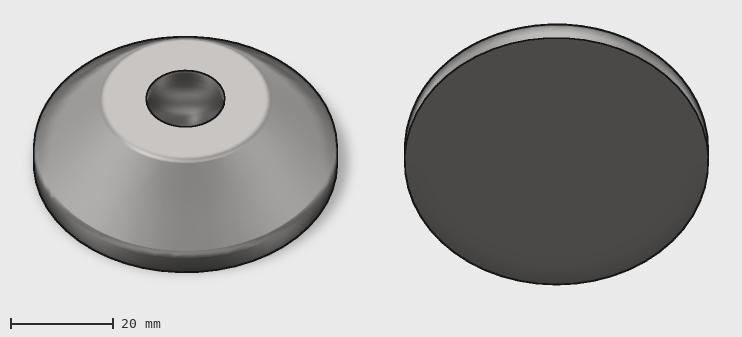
import cadquery as cq

base_diameter = 59.0
height = 18.0
rim_height = 4.8
top_diameter = 32.45
edge_radius = 2.0
socket_diameter = 15.0
socket_wall_depth = 2.5
mouth_flare = 0.1
mouth_depth = 0.6

base_radius = base_diameter / 2
top_radius = top_diameter / 2
socket_radius = socket_diameter / 2
wall_bottom_z = height - socket_wall_depth


def make_body():
    """Cone on a short cylindrical rim, with rounded rim and top edges."""
    profile = (
        cq.Workplane("XZ")
        .lineTo(base_radius, 0)
        .lineTo(base_radius, rim_height)
        .lineTo(top_radius, height)
        .lineTo(0, height)
        .close()
    )
    body = profile.revolve(360, (0, 0, 0), (0, 1, 0))
    body = body.faces(">Z").edges().fillet(edge_radius)
    rim_corner = cq.selectors.BoxSelector(
        (-base_diameter, -base_diameter, rim_height / 2),
        (base_diameter, base_diameter, height / 2),
    )
    return body.edges("%CIRCLE").edges(rim_corner).fillet(edge_radius)


def make_socket():
    """Cutter for the ball socket: a flared mouth, a straight bore and a hemisphere."""
    wall_base = cq.Workplane("XY", origin=(0, 0, wall_bottom_z))
    bore = wall_base.circle(socket_radius).extrude(socket_wall_depth)
    ball = wall_base.sphere(socket_radius)
    mouth = cq.Workplane(
        cq.Solid.makeCone(
            socket_radius,
            socket_radius + mouth_flare,
            mouth_depth,
            pnt=cq.Vector(0, 0, height - mouth_depth),
        )
    )
    return bore.union(ball).union(mouth)


result = make_body().cut(make_socket())